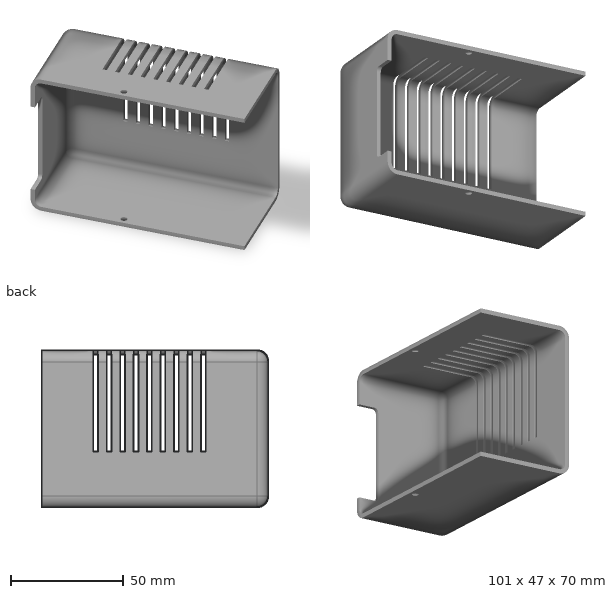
import cadquery as cq

length = 101.0
depth = 47.0
height = 70.0

wall = 2.0
outer_radius = 5.0
inner_radius = outer_radius - wall

slot_count = 9
slot_width = 2.0
first_slot_x = 28.0
slot_row_span = 48.0
slot_pitch = slot_row_span / (slot_count - 1)
slot_reach_top = 30.0
slot_reach_back = 45.0

notch_depth = 10.0
notch_bottom_z = 10.5
notch_top_z = 54.5
notch_radius = 2.0

hole_diameter = 3.0
hole_x = 43.0
hole_y = 3.0


def block(x_min, x_max, y_min, y_max, z_min, z_max):
    """Box given by its limits along each axis."""
    size = (x_max - x_min, y_max - y_min, z_max - z_min)
    return cq.Workplane("XY").box(*size, centered=False).translate((x_min, y_min, z_min))


def rounded_block(x_min, y_max, z_min, z_max, radius):
    """Block reaching the open right end and front, rounded where walls meet."""
    body = block(x_min, length, 0, y_max, z_min, z_max)
    vertical_corner = "(<X and >Y)"
    left_wall_edges = "(<X and <Z) or (<X and >Z)"
    back_wall_edges = "(>Y and <Z) or (>Y and >Z)"
    return body.edges(f"{vertical_corner} or {left_wall_edges} or {back_wall_edges}").fillet(radius)


def make_shell():
    """Cover with top, bottom, back and left walls; open at front and right."""
    outer = rounded_block(0, depth, 0, height, outer_radius)
    cavity = rounded_block(wall, depth - wall, wall, height - wall, inner_radius)
    return outer.cut(cavity)


def make_vent_slot(x_min):
    """L-shaped cutter through the top wall and the back wall."""
    x_max = x_min + slot_width
    top_leg = block(x_min, x_max, depth - slot_reach_top, depth, height - outer_radius, height)
    back_leg = block(x_min, x_max, depth - outer_radius, depth, height - slot_reach_back, height)
    return top_leg.union(back_leg)


def make_notch():
    """Cutter through the left wall, with its two inner corners rounded."""
    notch = block(0, wall, 0, notch_depth, notch_bottom_z, notch_top_z)
    return notch.edges("|X and >Y").fillet(notch_radius)


def make_screw_holes():
    """One vertical cutter that makes aligned holes in both walls."""
    return cq.Workplane("XY").center(hole_x, hole_y).circle(hole_diameter / 2).extrude(height)


result = make_shell()
for index in range(slot_count):
    result = result.cut(make_vent_slot(first_slot_x + index * slot_pitch))
result = result.cut(make_notch()).cut(make_screw_holes())